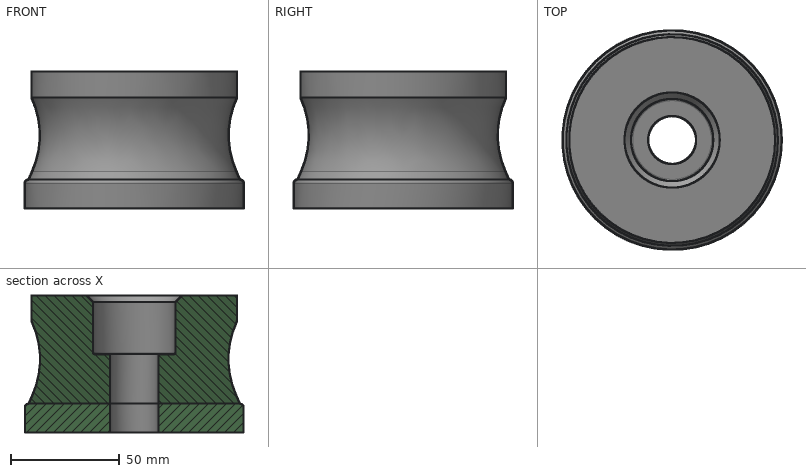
import cadquery as cq

height = 63.5

base_radius = 50.8
base_height = 13.5
base_top_fillet = 1.9
base_bottom_fillet = 0.6

foot_radius = 48.9
waist_start_radius = 47.3
waist_start_z = 17.3
waist_radius = 43.8
waist_z = 34.5
head_radius = 95.2 / 2
head_height = 12.1
head_bottom_z = height - head_height

hole_radius = 22.0 / 2
counterbore_radius = 38.1 / 2
counterbore_depth = 27.1
counterbore_floor_fillet = 0.8
countersink_radius = 44.1 / 2
countersink_depth = countersink_radius - counterbore_radius
counterbore_floor_z = height - counterbore_depth


def make_base():
    """Round plate with rounded rims and a through hole."""
    plate = cq.Workplane("XY").circle(base_radius).extrude(base_height)
    plate = plate.faces(">Z").edges().fillet(base_top_fillet)
    plate = plate.faces("<Z").edges().fillet(base_bottom_fillet)
    hole = cq.Workplane("XY").circle(hole_radius).extrude(base_height)
    return plate.cut(hole)


def make_waisted_blank():
    """Solid of revolution: conical foot, concave waist and cylindrical head."""
    return (
        cq.Workplane("XZ")
        .moveTo(0, base_height)
        .lineTo(foot_radius, base_height)
        .lineTo(waist_start_radius, waist_start_z)
        .threePointArc((waist_radius, waist_z), (head_radius, head_bottom_z))
        .lineTo(head_radius, height)
        .lineTo(0, height)
        .close()
        .revolve(360, (0, 0, 0), (0, 1, 0))
    )


def make_bore():
    """Through hole, counterbore with a rounded floor corner, and countersunk mouth."""
    hole = (
        cq.Workplane("XY")
        .workplane(offset=base_height)
        .circle(hole_radius)
        .extrude(height - base_height)
    )
    counterbore = (
        cq.Workplane("XY")
        .workplane(offset=counterbore_floor_z)
        .circle(counterbore_radius)
        .extrude(counterbore_depth)
        .faces("<Z")
        .edges()
        .fillet(counterbore_floor_fillet)
    )
    countersink = (
        cq.Workplane("XY")
        .workplane(offset=height - countersink_depth)
        .circle(counterbore_radius)
        .workplane(offset=countersink_depth)
        .circle(countersink_radius)
        .loft()
    )
    return hole.union(counterbore).union(countersink)


base = make_base()
waisted_body = make_waisted_blank().cut(make_bore())

result = cq.Compound.makeCompound([base.solids().val(), waisted_body.solids().val()])